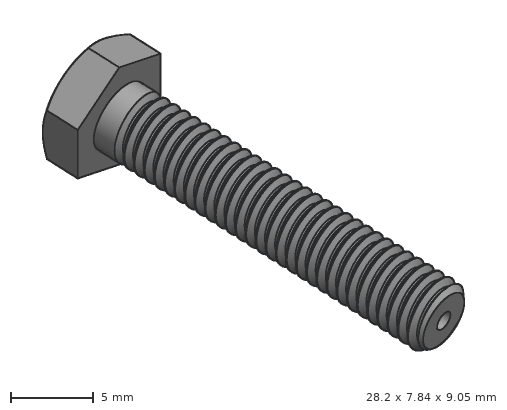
import cadquery as cq
import math

INCH = 25.4

HEAD_ACROSS_FLATS = 7.84
HEAD_HEIGHT = 0.11 * INCH
HEAD_CORNER_RADIUS = HEAD_ACROSS_FLATS / math.sqrt(3)
HEAD_FACE_INSET = 0.05
HEAD_FACE_RADIUS = HEAD_ACROSS_FLATS / 2 - HEAD_FACE_INSET
HEAD_CHAMFER_ANGLE = math.radians(30)

SHANK_LENGTH = 1.0 * INCH
MAJOR_RADIUS = 0.19 * INCH / 2
PITCH = INCH / 32
FLANK_ANGLE = math.radians(30)
CREST_WIDTH = PITCH / 8
THREAD_DEPTH = 0.46
ROOT_RADIUS = MAJOR_RADIUS - THREAD_DEPTH
FULL_DEPTH_START = 1.58
RUNOUT_TURNS = 1 / 3
GROOVE_OVERCUT = 0.03

BORE_DIAMETER = 0.05 * INCH


def make_head():
    """Hexagonal prism whose outer corners are cut back by a 30 degree cone."""
    hexagon = (
        cq.Workplane("YZ", origin=(-HEAD_HEIGHT, 0, 0))
        .polygon(6, 2 * HEAD_CORNER_RADIUS)
        .extrude(HEAD_HEIGHT)
        .rotate((0, 0, 0), (1, 0, 0), 90)
    )
    cone_radius = HEAD_FACE_RADIUS + HEAD_HEIGHT / math.tan(HEAD_CHAMFER_ANGLE)
    cone = (
        cq.Workplane("XY")
        .moveTo(-HEAD_HEIGHT, 0)
        .lineTo(-HEAD_HEIGHT, HEAD_FACE_RADIUS)
        .lineTo(0, cone_radius)
        .lineTo(0, 0)
        .close()
        .revolve(360, (0, 0, 0), (1, 0, 0))
    )
    return hexagon.intersect(cone)


def make_shank():
    """Plain cylinder, chamfered at 45 degrees down to the thread root at its tip."""
    return (
        cq.Workplane("YZ")
        .circle(MAJOR_RADIUS)
        .extrude(SHANK_LENGTH)
        .faces(">X")
        .chamfer(THREAD_DEPTH)
    )


def sweep_groove(helix):
    """Groove profile, in the XZ plane at the helix start, swept along a helix around Z."""
    outer_radius = MAJOR_RADIUS + GROOVE_OVERCUT
    half_width_at_major = (PITCH - CREST_WIDTH) / 2
    half_outer = half_width_at_major + GROOVE_OVERCUT * math.tan(FLANK_ANGLE)
    half_root = half_width_at_major - THREAD_DEPTH * math.tan(FLANK_ANGLE)
    return (
        cq.Workplane("XZ")
        .moveTo(ROOT_RADIUS, -half_root)
        .lineTo(outer_radius, -half_outer)
        .lineTo(outer_radius, half_outer)
        .lineTo(ROOT_RADIUS, half_root)
        .close()
        .sweep(cq.Workplane(obj=helix), isFrenet=True)
    )


def place_groove(groove):
    """Turn the helix axis from Z to X and its start from +X to +Y, then move it into place."""
    return (
        groove.rotate((0, 0, 0), (0, 0, 1), 90)
        .rotate((0, 0, 0), (0, 1, 0), 90)
        .translate((FULL_DEPTH_START, 0, 0))
    )


def make_thread_groove():
    """Full-depth helical cutter that starts on the +Y side and runs out past the tip."""
    helix_length = SHANK_LENGTH - FULL_DEPTH_START + PITCH
    return place_groove(sweep_groove(cq.Wire.makeHelix(PITCH, helix_length, MAJOR_RADIUS)))


def make_runout():
    """Cutter that rises from the groove start toward the head until it leaves the shank."""
    rise = THREAD_DEPTH + GROOVE_OVERCUT
    length = RUNOUT_TURNS * PITCH
    rise_angle = math.atan2(rise, length)
    slope_length = math.hypot(rise, length)
    slope_pitch = slope_length / RUNOUT_TURNS
    helix = cq.Wire.makeHelix(slope_pitch, slope_length, MAJOR_RADIUS, angle=math.degrees(rise_angle))
    return place_groove(sweep_groove(helix).rotate((0, 0, 0), (1, 0, 0), 180))


def make_bore():
    """Round hole along the axis, through the head and the shank."""
    return (
        cq.Workplane("YZ", origin=(-HEAD_HEIGHT, 0, 0))
        .circle(BORE_DIAMETER / 2)
        .extrude(HEAD_HEIGHT + SHANK_LENGTH)
    )


threaded_shank = make_shank().cut(make_thread_groove()).cut(make_runout())
result = make_head().union(threaded_shank).cut(make_bore())